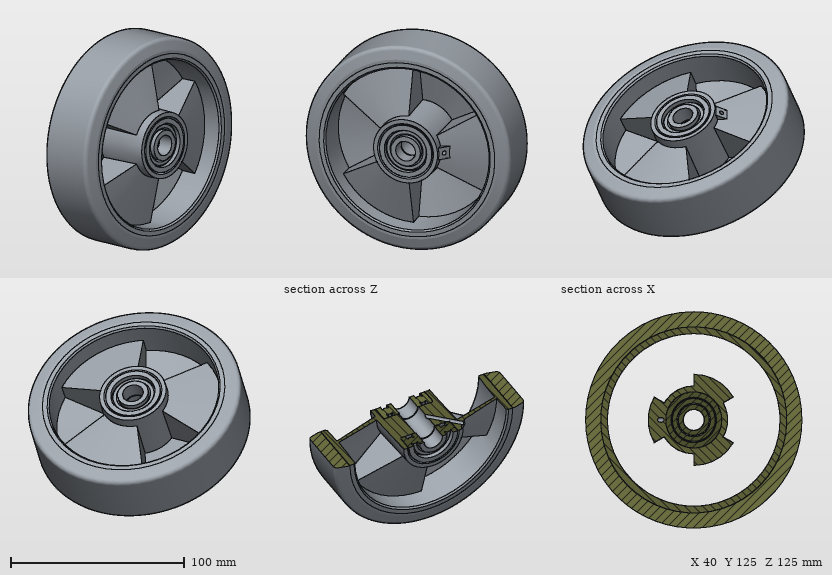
import cadquery as cq
import math


tyre_diameter = 125.0
tyre_width = 35.0
tyre_shoulder_radius = 55.2
tyre_tread_half_width = 15.6
tyre_corner_fillet = 2.5

rim_diameter = 107.0
rim_mouth_radius = 50.8
rim_chamfer = 1.0
rim_draft_angle = 2.0

hub_width = 40.0
hub_radius = 19.5
hub_draft_angle = 2.0
hub_bore_diameter = 13.0
bearing_seat_chamfer = 1.0

sector_count = 6
shallow_hub_depth = 5.6
shallow_rim_depth = 14.8
deep_hub_depth = 31.0
deep_rim_depth = 23.2
step_wall_angle = 4.0

lug_width = 7.2
lug_reach = 25.4
lug_top_depth = 2.1
lug_root_depth = 8.1
lug_root_radius = 18.2
lug_hole_diameter = 2.5
lug_hole_reach = 22.0

bearing_diameter = 32.0
bearing_bore_diameter = 12.0
bearing_width = 10.0
inner_race_diameter = 18.0
outer_race_bore = 25.9
shield_inner_diameter = 20.1
shield_outer_diameter = 24.0
shield_depth = 1.9
shield_edge_depth = 2.9

sector_angle = 360.0 / sector_count
half_tyre = tyre_width / 2
half_hub = hub_width / 2
rim_recess = half_hub - half_tyre
hub_draft_slope = math.tan(math.radians(hub_draft_angle))
rim_draft_slope = math.tan(math.radians(rim_draft_angle))


def revolved(points, angle=360.0):
    """Revolve a closed (axial position, radius) outline about X, starting on +Z."""
    return cq.Workplane("XZ").polyline(points).close().revolve(angle, (0, 0, 0), (1, 0, 0))


def turned(body, angle):
    """Turn a body about the wheel axis."""
    return body.rotate((0, 0, 0), (1, 0, 0), angle)


def make_tyre():
    outer = tyre_diameter / 2
    inner = rim_diameter / 2
    tyre = revolved([
        (-half_tyre, inner),
        (-half_tyre, tyre_shoulder_radius),
        (-tyre_tread_half_width, outer),
        (tyre_tread_half_width, outer),
        (half_tyre, tyre_shoulder_radius),
        (half_tyre, inner),
    ])
    tread_edges = cq.selectors.RadiusNthSelector(-1)
    return tyre.edges("%CIRCLE").edges(tread_edges).fillet(tyre_corner_fillet)


def wheel_blank():
    """Stepped solid disc: as wide as the hub inside the rim mouth, as wide as the tyre outside it."""
    rim_radius = rim_diameter / 2
    return revolved([
        (-half_hub, 0),
        (-half_hub, rim_mouth_radius),
        (-half_tyre, rim_mouth_radius),
        (-half_tyre, rim_radius),
        (half_tyre, rim_radius),
        (half_tyre, rim_mouth_radius),
        (half_hub, rim_mouth_radius),
        (half_hub, 0),
    ])


def open_ring():
    """Full-depth space between the drafted hub and the chamfered, drafted rim, wide end at -X."""
    rim_wall_radius = rim_mouth_radius - rim_chamfer
    rim_wall_length = hub_width - rim_recess - rim_chamfer
    return revolved([
        (-half_hub, hub_radius),
        (half_hub, hub_radius + hub_width * hub_draft_slope),
        (half_hub, rim_wall_radius - rim_wall_length * rim_draft_slope),
        (rim_chamfer - half_tyre, rim_wall_radius),
        (-half_tyre, rim_mouth_radius),
        (-half_hub, rim_mouth_radius),
    ])


def cone_filling(hub_depth, rim_depth, angle=360.0):
    """Everything below a conical web face, between hub_radius and rim_mouth_radius."""
    return revolved([
        (hub_depth - half_hub, hub_radius),
        (rim_depth - half_hub, rim_mouth_radius),
        (half_hub, rim_mouth_radius),
        (half_hub, hub_radius),
    ], angle)


def web_cavity(first_sector, wall_angle):
    """Space above the web on the -X side, with every second sector shallow.

    Each shallow sector is wider than sector_angle by wall_angle at both ends.
    """
    cavity = open_ring().cut(cone_filling(deep_hub_depth, deep_rim_depth))
    filling = cone_filling(shallow_hub_depth, shallow_rim_depth, sector_angle + 2 * wall_angle)
    for sector in range(first_sector, sector_count, 2):
        cavity = cavity.cut(turned(filling, sector * sector_angle - wall_angle))
    return cavity


def make_lug():
    """Wedge on the -Y side of the hub, rooted in the hub and the web."""
    top = lug_top_depth - half_hub
    root = lug_root_depth - half_hub
    slope_end = top + lug_reach - hub_radius
    return (
        cq.Workplane("XY")
        .polyline([
            (top, -lug_root_radius),
            (top, -hub_radius),
            (slope_end, -lug_reach),
            (root, -lug_reach),
            (root, -lug_root_radius),
        ])
        .close()
        .extrude(lug_width / 2, both=True)
    )


def lug_hole():
    """Hole square to the lug slope, running down to the hub bore on the wheel axis."""
    start_x = lug_top_depth - half_hub + lug_hole_reach - hub_radius
    drill = cq.Plane(origin=(start_x, -lug_hole_reach, 0), xDir=(0, 0, 1), normal=(1, 1, 0))
    length = lug_hole_reach * math.sqrt(2)
    return cq.Workplane(drill).circle(lug_hole_diameter / 2).extrude(length)


def hub_bore():
    """Stepped bore with a chamfered bearing seat at each end."""
    bore = hub_bore_diameter / 2
    seat = bearing_diameter / 2
    mouth = seat + bearing_seat_chamfer
    seat_end = half_hub - bearing_width
    chamfer_end = half_hub - bearing_seat_chamfer
    return revolved([
        (-half_hub, 0),
        (-half_hub, mouth),
        (-chamfer_end, seat),
        (-seat_end, seat),
        (-seat_end, bore),
        (seat_end, bore),
        (seat_end, seat),
        (chamfer_end, seat),
        (half_hub, mouth),
        (half_hub, 0),
    ])


def make_wheel():
    front_cavity = web_cavity(first_sector=1, wall_angle=0)
    back_cavity = web_cavity(first_sector=0, wall_angle=step_wall_angle).mirror("YZ")
    wheel = wheel_blank().cut(front_cavity).cut(back_cavity)
    return wheel.union(make_lug()).cut(lug_hole()).cut(hub_bore())


def shield_groove():
    """Ring recess in a bearing face at X = 0, with a bevelled shield as its floor."""
    return revolved([
        (0, inner_race_diameter / 2),
        (shield_edge_depth, inner_race_diameter / 2),
        (shield_depth, shield_inner_diameter / 2),
        (shield_depth, shield_outer_diameter / 2),
        (shield_edge_depth, outer_race_bore / 2),
        (0, outer_race_bore / 2),
    ])


def make_bearing(start_x):
    """Bearing from start_x to start_x + bearing_width, with a shield groove in both faces."""
    ring = (
        cq.Workplane("YZ")
        .circle(bearing_diameter / 2)
        .circle(bearing_bore_diameter / 2)
        .extrude(bearing_width)
    )
    groove = shield_groove()
    far_groove = groove.mirror("YZ").translate((bearing_width, 0, 0))
    return ring.cut(groove).cut(far_groove).translate((start_x, 0, 0))


tyre = make_tyre()
wheel = make_wheel()
bearings = [make_bearing(start_x) for start_x in (-half_hub, half_hub - bearing_width)]

result = cq.Compound.makeCompound(
    [tyre.val(), wheel.val(), *[bearing.val() for bearing in bearings]]
)